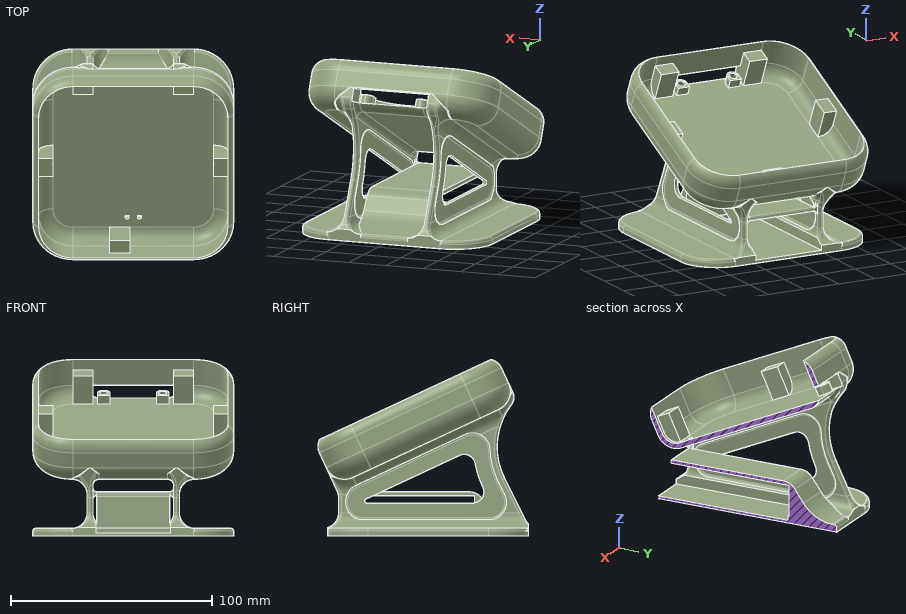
import cadquery as cq
import math

base_size = 100.0
half_base = base_size / 2
base_thickness = 4.0
base_top_round = 1.5
root_z = base_thickness - base_top_round
corner_radius = 20.0

tray_size = 100.0
half_tray = tray_size / 2
tray_tilt = 25.0
tray_center_y = -8.81
tray_center_z = 62.59
tray_wall = 3.0
tray_bottom_round = 10.0
straight_wall_height = 8.2
rim_round = 7.5
tray_bottom = -(straight_wall_height + tray_bottom_round)
tray_floor = tray_bottom + tray_wall
cavity_half = half_tray - tray_wall
cavity_round = tray_bottom_round - tray_wall
floor_half = cavity_half - cavity_round

post_width = 10.0
post_top = 0.3
rear_post_x = 25.0
front_post_x = -6.7
slot_width = 40.0
boss_size = 6.3
boss_rear_round = 3.1
boss_height = 4.6
boss_x = 14.65
boss_hole_diameter = 4.0
floor_hole_diameter = 2.0
floor_hole_spacing = 6.0
floor_hole_from_center = 34.5

leg_inner_x = 20.0
leg_thickness = 3.0
leg_outer_x = leg_inner_x + leg_thickness
leg_mid_x = leg_inner_x + leg_thickness / 2
flare_radius = 7.5
inner_top_radius = 3.0
flare_tip_width = 0.6
leg_edge_round = 1.45
flare_foot_half = leg_thickness / 2 + flare_radius
leg_front_y = -44.6
rear_arc_radius = 34.6
rear_arc_y = 69.0
rear_arc_z = 44.4
rear_lean_angle = 26.5
rear_top_round = 6.0
leg_top_w = -straight_wall_height

panel_depth = 0.5
panel_inset = 3.5
panel_bottom_z = 8.2
panel_top_w = tray_bottom - 4.2
panel_corner_radius = 8.7
panel_floor_round = 1.0
window_margin = 8.3
window_rear_radius = 5.5
window_tip_radius = 1.0

shelf_top_z = 22.2
shelf_edge_round = 0.6
shelf_thickness = 2.1
shelf_bottom_z = shelf_top_z - shelf_thickness
shelf_half_width = 18.2
shelf_setback = 1.5
shelf_front_y = leg_front_y + shelf_setback
shelf_flare_radius = leg_inner_x - shelf_half_width
ramp_front_y = 23.0
ramp_foot_y = 47.7
ramp_angle = 54.0
ramp_foot_radius = 20.0
ramp_crest_radius = 8.0

bay_clearance = 0.4
bay_half_width = shelf_half_width + bay_clearance
bay_floor_z = 1.7

lean = math.radians(rear_lean_angle)
tilt = math.radians(tray_tilt)


def block(x_range, y_range, z_range):
    """Axis-aligned box given by its limits."""
    size = [high - low for low, high in (x_range, y_range, z_range)]
    corner = (x_range[0], y_range[0], z_range[0])
    return cq.Workplane("XY").box(*size, centered=False).translate(corner)


def place_tray(shape):
    """Tilt a shape from level tray coordinates into its final place."""
    tilted = shape.rotate((0, 0, 0), (1, 0, 0), tray_tilt)
    return tilted.translate((0, tray_center_y, tray_center_z))


def tray_point(v, w):
    """World (y, z) of a tray point: v up the slope, w along the tray normal."""
    y = tray_center_y + v * math.cos(tilt) - w * math.sin(tilt)
    z = tray_center_z + v * math.sin(tilt) + w * math.cos(tilt)
    return y, z


def slope_y(w, z):
    """World y at height z on the plane lying at w along the tray normal."""
    v = (z - tray_center_z - w * math.cos(tilt)) / math.sin(tilt)
    return tray_point(v, w)[0]


def mirrored_pair(shape):
    return shape.union(shape.mirror("YZ"))


def make_base():
    plate = cq.Workplane("XY").rect(base_size, base_size).extrude(base_thickness)
    plate = plate.edges("|Z").fillet(corner_radius)
    return plate.faces(">Z").edges().fillet(base_top_round)


def make_tray_body():
    height = rim_round - tray_bottom
    body = cq.Workplane("XY").workplane(offset=tray_bottom).rect(tray_size, tray_size).extrude(height)
    body = body.edges("|Z").fillet(corner_radius)
    body = body.faces("<Z").edges().fillet(tray_bottom_round)
    return body.faces(">Z").edges().fillet(rim_round)


def make_cavity():
    size = 2 * cavity_half
    height = rim_round - tray_floor
    cavity = cq.Workplane("XY").workplane(offset=tray_floor).rect(size, size).extrude(height)
    cavity = cavity.edges("|Z").fillet(corner_radius - tray_wall)
    return cavity.faces("<Z").edges().fillet(cavity_round)


def make_tray_fittings():
    """Support posts on all four walls and two bored bosses at the rear slot."""
    post_height = (tray_floor, post_top)
    wall_span = (floor_half, cavity_half)
    half = post_width / 2
    rear_post = block((rear_post_x - half, rear_post_x + half), wall_span, post_height)
    side_post = block(wall_span, (-half, half), post_height)
    front_post = block(
        (front_post_x - half, front_post_x + half), (-cavity_half, -floor_half), post_height
    )
    boss_half = boss_size / 2
    boss = block(
        (boss_x - boss_half, boss_x + boss_half),
        (floor_half, floor_half + boss_size),
        (tray_floor, tray_floor + boss_height),
    )
    boss = boss.edges("|Z and >Y").fillet(boss_rear_round)
    bore = cq.Workplane("XY").center(boss_x, floor_half + boss_half).workplane(offset=tray_floor)
    boss = boss.cut(bore.circle(boss_hole_diameter / 2).extrude(boss_height))
    return mirrored_pair(rear_post.union(side_post).union(boss)).union(front_post)


def make_tray_cuts():
    """Cable slot through the rear wall and two small holes through the floor."""
    half = slot_width / 2
    slot = block((-half, half), (floor_half, half_tray), (tray_floor, tray_floor + cavity_round))
    hole_spots = [(side * floor_hole_spacing / 2, -floor_hole_from_center) for side in (-1, 1)]
    holes = cq.Workplane("XY").workplane(offset=tray_bottom).pushPoints(hole_spots)
    return slot.union(holes.circle(floor_hole_diameter / 2).extrude(tray_wall))


def flare_section(plane, wall_side, height, inner_radius):
    """Closed section of a wall on a flat, widening to a concave foot on both faces."""
    waist = leg_thickness / 2
    outer_bulge = flare_radius * (1 - math.sqrt(0.5))
    inner_bulge = inner_radius * (1 - math.sqrt(0.5))
    return (
        plane.moveTo(-waist - inner_radius, 0)
        .lineTo(waist + flare_radius, 0)
        .threePointArc((waist + outer_bulge, outer_bulge * wall_side), (waist, flare_radius * wall_side))
        .lineTo(waist, height * wall_side)
        .lineTo(-waist, height * wall_side)
        .lineTo(-waist, inner_radius * wall_side)
        .threePointArc((-waist - inner_bulge, inner_bulge * wall_side), (-waist - inner_radius, 0))
        .close()
    )


def make_flare_taper():
    """Narrows the upper feet to a thin tip where they fade out on the tray walls."""
    tip = flare_tip_width / 2
    shoulder_w = leg_top_w - flare_radius
    low_w = tray_bottom - 2 * flare_radius
    outline = [
        (-flare_foot_half, low_w),
        (flare_foot_half, low_w),
        (flare_foot_half, shoulder_w),
        (tip, leg_top_w),
        (-tip, leg_top_w),
        (-flare_foot_half, shoulder_w),
    ]
    taper = cq.Workplane("XZ", origin=(leg_mid_x, 0, 0)).polyline(outline).close()
    return taper.extrude(tray_size, both=True)


def make_leg_stock():
    """Wall with concave feet toward the base and toward the tray, before trimming."""
    lower_plane = cq.Workplane("XZ", origin=(leg_mid_x, half_base, base_thickness))
    lower = flare_section(lower_plane, 1, tray_center_z, flare_radius).extrude(base_size)
    foot_x = (leg_mid_x - flare_foot_half, leg_mid_x + flare_foot_half)
    root = block(foot_x, (-half_base, half_base), (root_z, base_thickness))

    upper_plane = cq.Workplane("XZ", origin=(leg_mid_x, floor_half, tray_bottom))
    upper = flare_section(upper_plane, -1, 2 * flare_radius, inner_top_radius).extrude(2 * floor_half)
    for end in (1, -1):
        end_plane = cq.Workplane("XZ", origin=(leg_mid_x, end * floor_half, tray_bottom))
        end_section = flare_section(end_plane, -1, 2 * flare_radius, inner_top_radius)
        roll_axis = ((0, tray_bottom_round), (end, tray_bottom_round))
        upper = upper.union(end_section.revolve(90, *roll_axis))
    upper = upper.intersect(make_flare_taper())
    return lower.union(root).union(place_tray(upper))


def rear_tangent(inset):
    """Where the leaning rear line meets the rear arc, both moved into the leg by inset."""
    radius = rear_arc_radius + inset
    return rear_arc_y - radius * math.cos(lean), rear_arc_z - radius * math.sin(lean)


def rear_line_y(z, inset):
    tangent_y, tangent_z = rear_tangent(inset)
    return tangent_y + (tangent_z - z) * math.tan(lean)


def tray_coordinates(y, z):
    """Tray (v, w) of a world point: v up the slope, w along the tray normal."""
    dy = y - tray_center_y
    dz = z - tray_center_z
    return dy * math.cos(tilt) + dz * math.sin(tilt), dz * math.cos(tilt) - dy * math.sin(tilt)


def arc_at_depth(w, inset):
    """Where the rear arc, moved in by inset, crosses the plane at w along the tray normal."""
    center_v, center_w = tray_coordinates(rear_arc_y, rear_arc_z)
    half_chord = math.sqrt((rear_arc_radius + inset) ** 2 - (w - center_w) ** 2)
    return tray_point(center_v - half_chord, w)


def arc_at_rear_wall():
    """Where the rear arc crosses the plane of the tray's rear wall."""
    center_v, center_w = tray_coordinates(rear_arc_y, rear_arc_z)
    rise = math.sqrt(rear_arc_radius**2 - (half_tray - center_v) ** 2)
    return tray_point(half_tray, center_w + rise)


def side_slab(outline, rear_inset):
    """Slab along X from (y, z) corners, hollowed by the rear arc moved in by rear_inset."""
    slab = cq.Workplane("YZ").polyline(outline).close().extrude(half_tray, both=True)
    hollow = cq.Workplane("YZ").center(rear_arc_y, rear_arc_z).circle(rear_arc_radius + rear_inset)
    return slab.cut(hollow.extrude(half_tray, both=True))


def round_corner(slab, corner, radius, reach=2.0):
    """Round the edge of a slab that runs along X near the (y, z) corner."""
    y, z = corner
    around = cq.selectors.BoxSelector(
        (-half_tray, y - reach, z - reach), (half_tray, y + reach, z + reach)
    )
    return slab.edges("|X").edges(around).fillet(radius)


def front_bend_corner():
    """Corner where the upright front of a leg turns along the tray's front wall."""
    wall_y, wall_z = tray_point(-half_tray, leg_top_w)
    return leg_front_y, wall_z - (leg_front_y - wall_y) / math.tan(tilt)


def make_leg_outline():
    """Side outline of a leg, from the base up to where it fades out on the tray walls."""
    front_top = tray_point(-half_tray, leg_top_w)
    front_bend = front_bend_corner()
    front_foot = (leg_front_y, base_thickness)
    rear_foot = (rear_line_y(base_thickness, 0), base_thickness)
    outline = [
        (-base_size, root_z),
        (-base_size, base_thickness),
        front_foot,
        front_bend,
        front_top,
        tray_point(half_tray, leg_top_w),
        tray_point(half_tray, panel_top_w),
        rear_tangent(0),
        rear_foot,
        (base_size, base_thickness),
        (base_size, root_z),
    ]
    slab = side_slab(outline, 0)
    for corner in (front_foot, front_bend, rear_foot):
        slab = round_corner(slab, corner, flare_radius)
    return round_corner(slab, arc_at_rear_wall(), rear_top_round)


def make_panel_outline():
    """Outline of the sunken panel, following the outline of the leg."""
    front_y = leg_front_y + panel_inset
    center_y, center_z = tray_point(0, panel_top_w)
    front_top = (front_y, center_z + (front_y - center_y) * math.tan(tilt))
    front_bottom = (front_y, panel_bottom_z)
    rear_bottom = (rear_line_y(panel_bottom_z, panel_inset), panel_bottom_z)
    outline = [
        front_bottom,
        front_top,
        tray_point(half_tray, panel_top_w),
        rear_tangent(panel_inset),
        rear_bottom,
    ]
    slab = side_slab(outline, panel_inset)
    rear_top = arc_at_depth(panel_top_w, panel_inset)
    for corner in (front_top, front_bottom, rear_top, rear_bottom):
        slab = round_corner(slab, corner, panel_corner_radius)
    return slab


def make_window_outline():
    """Three-cornered window, the same margin inside the panel on every side."""
    inset = panel_inset + window_margin
    bottom_z = panel_bottom_z + window_margin
    top_w = panel_top_w - window_margin
    tip = (slope_y(top_w, bottom_z), bottom_z)
    rear_bottom = (rear_line_y(bottom_z, inset), bottom_z)
    slab = side_slab([tip, tray_point(half_tray, top_w), rear_tangent(inset), rear_bottom], inset)
    for corner in (arc_at_depth(top_w, inset), rear_bottom):
        slab = round_corner(slab, corner, window_rear_radius)
    return round_corner(slab, tip, window_tip_radius)


def x_slice(slab, x_low, x_high):
    limits = (-base_size, base_size)
    return slab.intersect(block((x_low, x_high), limits, limits))


def round_leg_ends(leg):
    """Round the front and rear edges of a leg, along with the feet they run into."""
    straight_foot_z = base_thickness + flare_radius
    front_mid_z = (straight_foot_z + front_bend_corner()[1]) / 2
    rear_mid_z = (straight_foot_z + rear_tangent(0)[1]) / 2
    for y, z in ((leg_front_y, front_mid_z), (rear_line_y(rear_mid_z, 0), rear_mid_z)):
        for x in (leg_inner_x, leg_outer_x):
            edge = cq.selectors.NearestToPointSelector((x, y, z))
            leg = leg.edges(edge).fillet(leg_edge_round)
    return leg


def make_leg():
    leg = make_leg_stock().intersect(make_leg_outline())
    leg = round_leg_ends(leg)
    panel = make_panel_outline()
    outer_panel = x_slice(panel, leg_outer_x - panel_depth, half_tray)
    inner_panel = x_slice(panel, 0, leg_inner_x + panel_depth)
    leg = leg.cut(outer_panel.faces("<X").edges().fillet(panel_floor_round))
    leg = leg.cut(inner_panel.faces(">X").edges().fillet(panel_floor_round))
    return leg.cut(make_window_outline())


def make_shelf_flares():
    """Concave webs that join the front of the shelf to the legs."""
    radius = shelf_flare_radius
    leg_face = leg_inner_x + panel_depth
    mid_shift = radius * (1 - math.sqrt(0.5))
    mid_x = leg_inner_x - mid_shift
    web = (
        cq.Workplane("XZ", origin=(0, leg_front_y + panel_inset, 0))
        .moveTo(shelf_half_width, shelf_bottom_z)
        .threePointArc((mid_x, shelf_bottom_z - mid_shift), (leg_inner_x, shelf_bottom_z - radius))
        .lineTo(leg_face, shelf_bottom_z - radius)
        .lineTo(leg_face, shelf_top_z + radius)
        .lineTo(leg_inner_x, shelf_top_z + radius)
        .threePointArc((mid_x, shelf_top_z + mid_shift), (shelf_half_width, shelf_top_z))
        .close()
        .extrude(panel_inset - shelf_setback)
    )
    return mirrored_pair(web)


def make_shelf_and_ramp():
    """Flat shelf that bends down behind into a solid ramp with a concave foot."""
    slope = math.radians(ramp_angle)
    foot = (ramp_foot_y - ramp_foot_radius * math.tan(slope / 2), base_thickness)
    crest = (foot[0] - (shelf_top_z - base_thickness) / math.tan(slope), shelf_top_z)
    flat_end_y = half_base - base_top_round
    outline = [
        (shelf_front_y, shelf_bottom_z),
        (ramp_front_y, shelf_bottom_z),
        (ramp_front_y, root_z),
        (flat_end_y, root_z),
        (flat_end_y, base_thickness),
        foot,
        crest,
        (shelf_front_y, shelf_top_z),
    ]
    body = cq.Workplane("YZ").polyline(outline).close().extrude(shelf_half_width, both=True)
    body = body.faces("<Y").edges("|X").fillet(shelf_edge_round)
    body = round_corner(body, crest, ramp_crest_radius)
    return round_corner(body, foot, ramp_foot_radius)


def make_bay():
    """Bay reaching the ramp's face, sunk into the base up to a small step before it."""
    width = (-bay_half_width, bay_half_width)
    sunk = block(width, (-half_base, ramp_front_y - bay_clearance), (bay_floor_z, base_thickness))
    return sunk.union(block(width, (-half_base, ramp_front_y), (base_thickness, shelf_bottom_z)))


tray_inside = make_cavity().union(make_tray_cuts())
result = make_base().union(mirrored_pair(make_leg()))
result = result.cut(make_bay())
result = result.union(make_shelf_and_ramp()).union(make_shelf_flares())
result = result.union(place_tray(make_tray_body())).cut(place_tray(tray_inside))
result = result.union(place_tray(make_tray_fittings()))